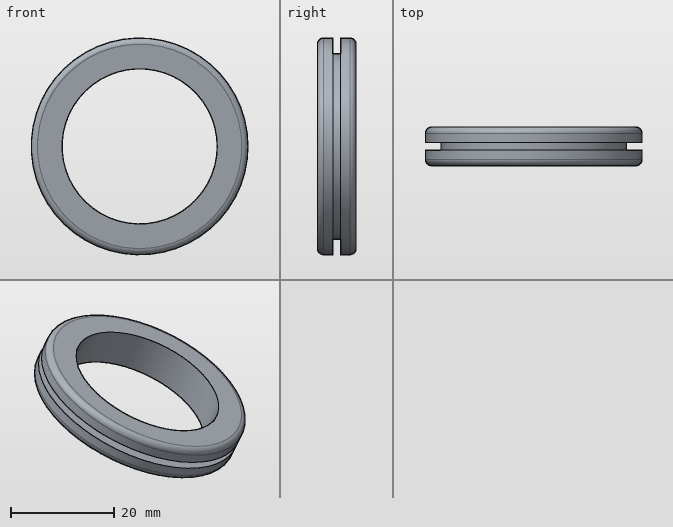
import cadquery as cq

outer_diameter = 42.0
bore_diameter = 30.0
ring_width = 7.5
rim_fillet = 1.2

groove_width = 1.45
groove_floor_diameter = 36.0


def centred_disc(diameter, width):
    """Solid disc along Y, centred on the origin."""
    start = cq.Workplane("XZ", origin=(0, width / 2, 0))
    return start.circle(diameter / 2).extrude(width)


body = centred_disc(outer_diameter, ring_width).edges("%CIRCLE").fillet(rim_fillet)

bore = centred_disc(bore_diameter, ring_width)

groove = centred_disc(outer_diameter, groove_width).cut(
    centred_disc(groove_floor_diameter, groove_width)
)

result = body.cut(bore).cut(groove)